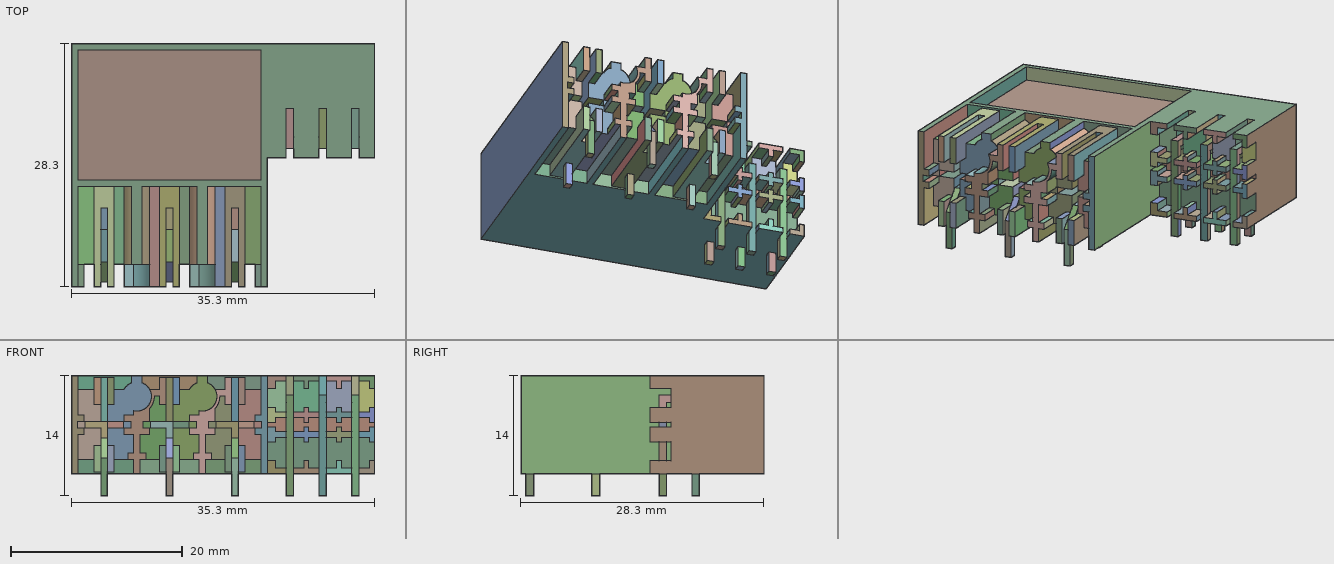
import cadquery as cq
import math

BODY_LENGTH = 35.26
BODY_DEPTH = 28.3
BODY_HEIGHT = 11.43
LEG_DROP = 2.57
WALL = 0.76

BIG_COUNT = 3
BIG_PITCH = 7.62
BIG_FIRST_X = 3.77
BIG_PIN_XS = [BIG_FIRST_X + i * BIG_PITCH for i in range(BIG_COUNT)]
DIVIDER_XS = [x + BIG_PITCH / 2 for x in BIG_PIN_XS[:-1]]
BIG_RIGHT = 22.79
BACK_WALL_Y = 11.67
CORE_FRONT = 2.62
CORE_BOTTOM = 1.64
CORE_TOP = 9.82

TONGUE_HALF_WIDTH = 1.155
TONGUE_INSET = 0.21
UPPER_TONGUE_BOTTOM = 8.07
LOWER_TONGUE_TOP = 3.27

WEB_HALF_WIDTH = 0.38
UPPER_WEB_HALF_WIDTH = 0.62
RAIL_HALF_WIDTH = 1.48
RAIL_BOTTOM = 4.58
RAIL_TOP = 6.87
FOOT_RAIL_HALF_WIDTH = 1.05
FOOT_RAIL_TOP = 2.4
ROUND_Z = 9.0
ROUND_RADIUS = 1.705
SHELL_RADIUS = 2.04
LEDGE_BOTTOM = 9.05

SLOT_BOTTOM = 5.35
SLOT_TOP = 6.11
RAIL_SLOT_HALF_WIDTH = 3.11
CORE_SLOT_HALF_WIDTH = 2.24

BIG_PIN_HALF_WIDTH = 0.39
BIG_LEG_FRONT = 0.53
BIG_LEG_THICKNESS = 0.95
BEND_BOTTOM = 1.85
BEND_TOP = 4.15
BEND_END = 2.87
BLADE_FRONT = 6.65
CONTACT_END = 9.16

SMALL_COUNT = 3
SMALL_PITCH = 3.81
SMALL_FIRST_X = 25.41
SMALL_PIN_XS = [SMALL_FIRST_X + i * SMALL_PITCH for i in range(SMALL_COUNT)]
SMALL_FRONT = 15.0
SMALL_CAVITY_END = 17.45
SMALL_SLOT_END = 20.75
SMALL_PIN_HALF_WIDTH = 0.435
SMALL_LEG_FRONT = 16.07
SMALL_LEG_THICKNESS = 0.87
SMALL_PIN_TOP = 9.15
PLATE = 0.65
RIB_HALF_WIDTH = 0.28
LEFT_RIB_END = 23.74
SHORT_RIB = 0.55
LONG_RIB = 0.88
LOW_PLATE_BOTTOM = 4.25
HIGH_PLATE_BOTTOM = 6.54
TOP_PLATE_BOTTOM = BODY_HEIGHT - PLATE
PLATE_BOTTOMS = [0, LOW_PLATE_BOTTOM, HIGH_PLATE_BOTTOM, TOP_PLATE_BOTTOM]
RIB_BANDS = [
    (0, PLATE + LONG_RIB),
    (LOW_PLATE_BOTTOM - SHORT_RIB, LOW_PLATE_BOTTOM + PLATE + SHORT_RIB),
    (HIGH_PLATE_BOTTOM - SHORT_RIB, HIGH_PLATE_BOTTOM + PLATE + SHORT_RIB),
    (TOP_PLATE_BOTTOM - LONG_RIB, BODY_HEIGHT),
]


def box(x0, x1, y0, y1, z0, z1):
    """Box between two opposite corners."""
    return cq.Workplane("XY").box(x1 - x0, y1 - y0, z1 - z0, centered=False).translate((x0, y0, z0))


def pin_box(x, half_width, y0, y1, z0, z1):
    """Box centred on x."""
    return box(x - half_width, x + half_width, y0, y1, z0, z1)


def make_shell():
    """L-shaped body with the top recess and the empty chamber of the large header."""
    shell = box(0, BODY_LENGTH, SMALL_FRONT, BODY_DEPTH, 0, BODY_HEIGHT)
    shell = shell.union(box(0, BIG_RIGHT, 0, SMALL_FRONT, 0, BODY_HEIGHT))
    inner_right = BIG_RIGHT - WALL
    shell = shell.cut(box(WALL, inner_right, BACK_WALL_Y + WALL, BODY_DEPTH - WALL, CORE_TOP, BODY_HEIGHT))
    return shell.cut(box(WALL, inner_right, 0, BACK_WALL_Y, 0, BODY_HEIGHT))


def make_front_divider(x):
    """Front part of a divider: web, rails, and the shell under the round channel."""
    def round_point(radius, degrees):
        angle = math.radians(degrees)
        return x + radius * math.cos(angle), ROUND_Z + radius * math.sin(angle)

    ledge_angle = math.degrees(math.asin((CORE_TOP - ROUND_Z) / ROUND_RADIUS))
    web_angle = -math.degrees(math.acos(-WEB_HALF_WIDTH / ROUND_RADIUS))
    shell_low_angle = -math.degrees(math.acos(RAIL_HALF_WIDTH / SHELL_RADIUS))
    shell_high_angle = math.degrees(math.asin((LEDGE_BOTTOM - ROUND_Z) / SHELL_RADIUS))
    tongue_x = x + BIG_PITCH / 2 - TONGUE_HALF_WIDTH

    profile = (
        cq.Workplane("XZ")
        .moveTo(tongue_x, CORE_TOP)
        .lineTo(*round_point(ROUND_RADIUS, ledge_angle))
        .threePointArc(
            round_point(ROUND_RADIUS, (ledge_angle + web_angle) / 2),
            round_point(ROUND_RADIUS, web_angle),
        )
        .lineTo(x - WEB_HALF_WIDTH, RAIL_TOP)
        .lineTo(x - RAIL_HALF_WIDTH, RAIL_TOP)
        .lineTo(x - RAIL_HALF_WIDTH, RAIL_BOTTOM)
        .lineTo(x + RAIL_HALF_WIDTH, RAIL_BOTTOM)
        .lineTo(*round_point(SHELL_RADIUS, shell_low_angle))
        .threePointArc(
            round_point(SHELL_RADIUS, (shell_low_angle + shell_high_angle) / 2),
            round_point(SHELL_RADIUS, shell_high_angle),
        )
        .lineTo(tongue_x, LEDGE_BOTTOM)
        .close()
    )
    divider = profile.extrude(-CORE_FRONT)
    divider = divider.union(pin_box(x, FOOT_RAIL_HALF_WIDTH, 0, CORE_FRONT, CORE_BOTTOM, FOOT_RAIL_TOP))
    return divider.union(pin_box(x, WEB_HALF_WIDTH, 0, CORE_FRONT, 0, RAIL_BOTTOM))


def make_rear_divider(x):
    """Walls above and below the core, with the round rib along the core's top."""
    upper = pin_box(x, UPPER_WEB_HALF_WIDTH, CORE_FRONT, BACK_WALL_Y, CORE_TOP, BODY_HEIGHT)
    lower = pin_box(x, WEB_HALF_WIDTH, CORE_FRONT, BACK_WALL_Y, 0, CORE_BOTTOM)
    rib = cq.Workplane("XZ", origin=(x, CORE_FRONT, ROUND_Z)).circle(ROUND_RADIUS)
    rib = rib.extrude(CORE_FRONT - BACK_WALL_Y)
    return upper.union(lower).union(rib)


def make_big_header():
    """Core, tongues, dividers and wall rails, before the contact slots are cut."""
    header = box(WALL, BIG_RIGHT - WALL, CORE_FRONT, BACK_WALL_Y, CORE_BOTTOM, CORE_TOP)
    first_edge = BIG_PIN_XS[0] - BIG_PITCH / 2
    last_edge = BIG_PIN_XS[-1] + BIG_PITCH / 2
    header = header.union(box(WALL, first_edge + RAIL_HALF_WIDTH, 0, CORE_FRONT, RAIL_BOTTOM, RAIL_TOP))
    header = header.union(
        box(last_edge - RAIL_HALF_WIDTH, BIG_RIGHT - WALL, 0, CORE_FRONT, RAIL_BOTTOM, RAIL_TOP)
    )
    for x in DIVIDER_XS:
        header = header.union(make_front_divider(x)).union(make_rear_divider(x))
    upper_top = BODY_HEIGHT - TONGUE_INSET
    for x in BIG_PIN_XS:
        header = header.union(pin_box(x, TONGUE_HALF_WIDTH, 0, BACK_WALL_Y, UPPER_TONGUE_BOTTOM, upper_top))
        header = header.union(pin_box(x, TONGUE_HALF_WIDTH, 0, BACK_WALL_Y, TONGUE_INSET, LOWER_TONGUE_TOP))
    return header


def cut_big_slots(body):
    """Horizontal slots, deeper on the right of each contact, and vertical slots in the tongues."""
    for x in BIG_PIN_XS:
        body = body.cut(pin_box(x, RAIL_SLOT_HALF_WIDTH, 0, CORE_FRONT, SLOT_BOTTOM, SLOT_TOP))
        slot_left = x - CORE_SLOT_HALF_WIDTH
        slot_right = x + CORE_SLOT_HALF_WIDTH
        body = body.cut(box(slot_left, x, 0, BLADE_FRONT, SLOT_BOTTOM, SLOT_TOP))
        body = body.cut(box(x, slot_right, 0, CONTACT_END, SLOT_BOTTOM, SLOT_TOP))
        body = body.cut(pin_box(x, BIG_PIN_HALF_WIDTH, 0, BEND_END, 0, BODY_HEIGHT))
        body = body.cut(pin_box(x, BIG_PIN_HALF_WIDTH, 0, CONTACT_END, BEND_TOP, BODY_HEIGHT))
    return body


def make_big_contact(x):
    """Contact with a bent front leg, a level run, an upright blade and a rear leg."""
    leg_back = BIG_LEG_FRONT + BIG_LEG_THICKNESS
    rear_leg_front = CONTACT_END - BIG_LEG_THICKNESS
    return (
        cq.Workplane("YZ", origin=(x, 0, 0))
        .moveTo(BIG_LEG_FRONT, -LEG_DROP)
        .lineTo(BIG_LEG_FRONT, BEND_BOTTOM)
        .lineTo(BEND_END, BEND_TOP)
        .lineTo(BLADE_FRONT, BEND_TOP)
        .lineTo(BLADE_FRONT, SLOT_TOP)
        .lineTo(CONTACT_END, SLOT_TOP)
        .lineTo(CONTACT_END, -LEG_DROP)
        .lineTo(rear_leg_front, -LEG_DROP)
        .lineTo(rear_leg_front, BEND_BOTTOM)
        .lineTo(leg_back, BEND_BOTTOM)
        .lineTo(leg_back, -LEG_DROP)
        .close()
        .extrude(BIG_PIN_HALF_WIDTH, both=True)
    )


def add_small_ribs(body, x0, x1):
    """Ribs on the inner faces of every plate, between x0 and x1."""
    for low, high in RIB_BANDS:
        body = body.union(box(x0, x1, SMALL_FRONT, SMALL_CAVITY_END, low, high))
    return body


def add_small_header(body):
    """Four ribbed plates in front of the small header, slotted for its pins."""
    body = body.cut(box(BIG_RIGHT, BODY_LENGTH, SMALL_FRONT, SMALL_CAVITY_END, 0, BODY_HEIGHT))
    for bottom in PLATE_BOTTOMS:
        body = body.union(
            box(BIG_RIGHT, BODY_LENGTH, SMALL_FRONT, SMALL_CAVITY_END, bottom, bottom + PLATE)
        )
    body = add_small_ribs(body, BIG_RIGHT, LEFT_RIB_END)
    for x in SMALL_PIN_XS[:-1]:
        rib_x = x + SMALL_PITCH / 2
        body = add_small_ribs(body, rib_x - RIB_HALF_WIDTH, rib_x + RIB_HALF_WIDTH)
    end_rib_x = SMALL_PIN_XS[-1] + SMALL_PITCH / 2
    body = add_small_ribs(body, end_rib_x - RIB_HALF_WIDTH, BODY_LENGTH)
    leg_end = SMALL_LEG_FRONT + SMALL_LEG_THICKNESS
    arm_slot_bottom = HIGH_PLATE_BOTTOM + PLATE
    for x in SMALL_PIN_XS:
        body = body.cut(pin_box(x, SMALL_PIN_HALF_WIDTH, SMALL_FRONT, leg_end, 0, BODY_HEIGHT))
        body = body.cut(
            pin_box(x, SMALL_PIN_HALF_WIDTH, SMALL_FRONT, SMALL_SLOT_END, arm_slot_bottom, BODY_HEIGHT)
        )
        body = body.union(make_small_pin(x))
    return body


def make_small_pin(x):
    """Pin with a free-standing front leg, an arm into the body and a rear leg."""
    front_end = SMALL_LEG_FRONT + SMALL_LEG_THICKNESS
    rear_start = SMALL_SLOT_END - SMALL_LEG_THICKNESS
    arm_bottom = SMALL_PIN_TOP - SMALL_LEG_THICKNESS
    pin = pin_box(x, SMALL_PIN_HALF_WIDTH, SMALL_LEG_FRONT, front_end, -LEG_DROP, SMALL_PIN_TOP)
    arm = pin_box(x, SMALL_PIN_HALF_WIDTH, SMALL_LEG_FRONT, SMALL_SLOT_END, arm_bottom, SMALL_PIN_TOP)
    rear = pin_box(x, SMALL_PIN_HALF_WIDTH, rear_start, SMALL_SLOT_END, -LEG_DROP, SMALL_PIN_TOP)
    return pin.union(arm).union(rear)


body = make_shell().union(make_big_header())
body = cut_big_slots(body)
for pin_x in BIG_PIN_XS:
    body = body.union(make_big_contact(pin_x))
result = add_small_header(body)